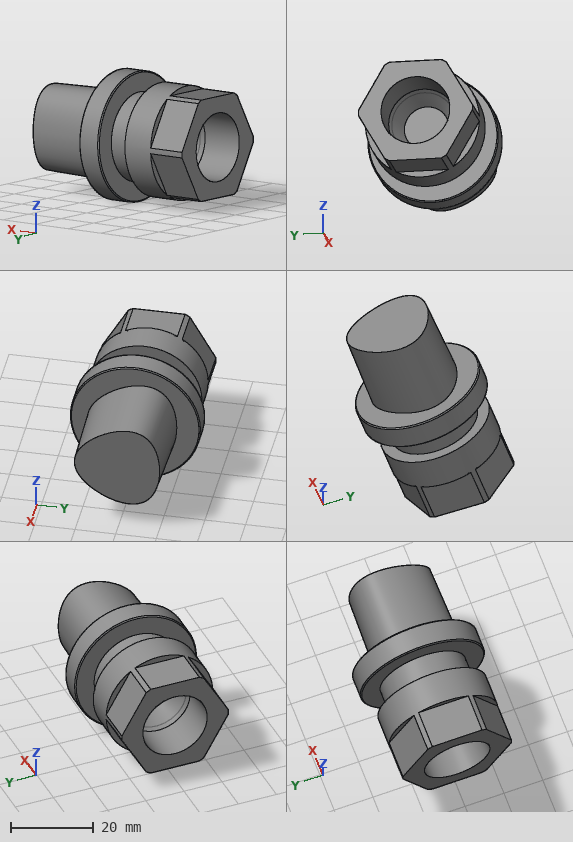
import cadquery as cq
import math

overall_length = 49.0
hex_end = 9.6
collar_end = 17.5
flange_start = 24.0
flange_end = 30.0

hex_across_flats = 24.9
collar_diameter = 28.0
neck_diameter = 22.0
flange_diameter = 32.0
flange_chamfer = 0.3

spigot_root_radius = 11.0
spigot_taper = 1 / 20
spigot_lobe_height = 0.75
spigot_outline_points = 36

bore_diameter = 16.85
bore_taper_end_diameter = 15.7
bore_floor_diameter = 11.0
bore_straight_depth = 10.5
bore_taper_length = 1.05
bottom_cone_length = 4.05


def cylinder(start, end, diameter):
    """Cylinder on the part axis between two X stations."""
    return cq.Workplane("YZ", origin=(start, 0, 0)).circle(diameter / 2).extrude(end - start)


def hexagon():
    """Hexagon with flats facing +/-Z and corners trimmed to the collar diameter."""
    across_corners = hex_across_flats / math.cos(math.pi / 6)
    prism = cq.Workplane("YZ").polygon(6, across_corners).extrude(hex_end)
    return prism.intersect(cylinder(0, hex_end, collar_diameter))


def flange():
    """Flange disc with both rims chamfered."""
    return cylinder(flange_start, flange_end, flange_diameter).edges().chamfer(flange_chamfer)


def lobed_outline(radius):
    """Points of a three-lobed closed curve around the part axis, as (Y, Z) pairs."""
    angles = [2 * math.pi * i / spigot_outline_points for i in range(spigot_outline_points)]
    return [
        (
            radius * math.cos(angle) - spigot_lobe_height * math.cos(2 * angle),
            radius * math.sin(angle) + spigot_lobe_height * math.sin(2 * angle),
        )
        for angle in angles
    ]


def spigot():
    """Lobed spigot tapering from the flange to the free end; the lobe height stays constant."""
    length = overall_length - flange_end
    tip_radius = spigot_root_radius - length * spigot_taper / 2
    return (
        cq.Workplane("YZ", origin=(flange_end, 0, 0))
        .spline(lobed_outline(spigot_root_radius), periodic=True)
        .close()
        .workplane(offset=length)
        .spline(lobed_outline(tip_radius), periodic=True)
        .close()
        .loft(ruled=True)
    )


def bore():
    """Half profile of the bore, its taper and its bottom cone, revolved about X."""
    taper_end = bore_straight_depth + bore_taper_length
    floor_station = taper_end + bottom_cone_length
    profile = [
        (0, 0),
        (0, bore_diameter / 2),
        (bore_straight_depth, bore_diameter / 2),
        (taper_end, bore_taper_end_diameter / 2),
        (floor_station, bore_floor_diameter / 2),
        (floor_station, 0),
    ]
    return cq.Workplane("XY").polyline(profile).close().revolve(360, (0, 0, 0), (1, 0, 0))


result = (
    hexagon()
    .union(cylinder(hex_end, collar_end, collar_diameter))
    .union(cylinder(collar_end, flange_start, neck_diameter))
    .union(flange())
    .union(spigot())
    .cut(bore())
)